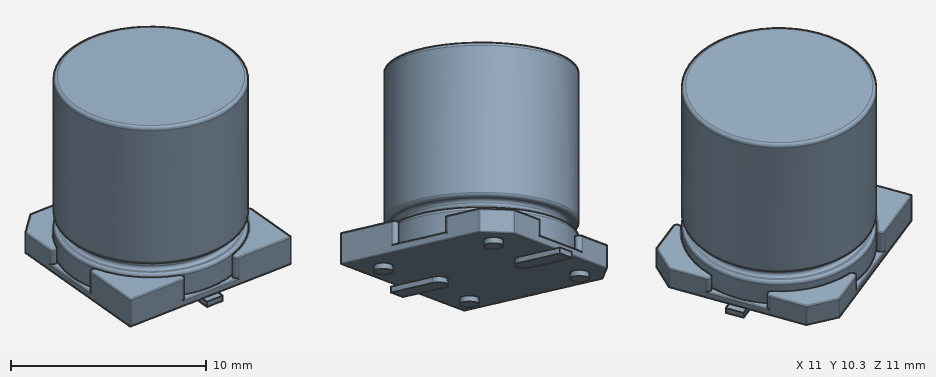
import cadquery as cq
import math

overall_height = 11.0
can_radius = 10.0 / 2
neck_radius = 9.0 / 2
can_edge_radius = 0.2
lower_rim_top = 2.16
neck_height = 0.15

base_width = 10.3
base_bottom = 0.32
plate_top = 0.74
low_block_top = 1.6
high_block_top = 2.0
corner_cut = 1.28
base_edge_radius = 0.06

seat_radius = 5.03
tip_radius = 0.22

lead_span = 11.0
lead_width = 1.0
lead_length = 3.2
foot_diameter = 1.0
foot_offset = 3.59

half_width = base_width / 2
sin_45 = math.sin(math.radians(45))


def make_can():
    """Revolve the can, with its grooved neck, about the Z axis."""
    r = can_edge_radius
    rim_flat_radius = can_radius - r
    groove_mouth_radius = neck_radius + r
    neck_bottom = lower_rim_top + r
    neck_top = neck_bottom + neck_height
    upper_rim_bottom = neck_top + r
    near = r * sin_45
    far = r - near
    profile = (
        cq.Workplane("XZ")
        .moveTo(0, base_bottom)
        .lineTo(can_radius, base_bottom)
        .lineTo(can_radius, lower_rim_top - r)
        .threePointArc((can_radius - far, lower_rim_top - far), (rim_flat_radius, lower_rim_top))
        .lineTo(groove_mouth_radius, lower_rim_top)
        .threePointArc((neck_radius + far, lower_rim_top + far), (neck_radius, neck_bottom))
        .lineTo(neck_radius, neck_top)
        .threePointArc((neck_radius + far, neck_top + near), (groove_mouth_radius, upper_rim_bottom))
        .lineTo(rim_flat_radius, upper_rim_bottom)
        .threePointArc((can_radius - far, upper_rim_bottom + far), (can_radius, upper_rim_bottom + r))
        .lineTo(can_radius, overall_height - r)
        .threePointArc((can_radius - far, overall_height - far), (rim_flat_radius, overall_height))
        .lineTo(0, overall_height)
        .close()
    )
    return profile.revolve(360, (0, 0, 0), (0, 1, 0))


def base_prism(top):
    """Square prism with bevelled -X corners and rounded upright edges."""
    prism = cq.Workplane("XY").workplane(offset=base_bottom).rect(base_width, base_width)
    prism = prism.extrude(top - base_bottom)
    prism = prism.edges("|Z and <X").chamfer(corner_cut)
    return prism.edges("|Z").fillet(base_edge_radius)


def make_plate():
    """Low plate under the corner blocks."""
    return base_prism(plate_top).faces("<Z or >Z").edges().fillet(base_edge_radius)


def make_block(x_side, y_side, top):
    """Corner block with full-round tips beside the gaps and a rounded rim."""
    tip_axis = half_width - tip_radius
    tip_start = math.sqrt((seat_radius + tip_radius) ** 2 - tip_axis**2)
    tip_end = tip_start - tip_radius
    seat_ratio = seat_radius / (seat_radius + tip_radius)
    touch_near = tip_start * seat_ratio
    touch_far = tip_axis * seat_ratio
    seat_middle = seat_radius * sin_45

    def at(x, y):
        return (x_side * x, y_side * y)

    outline = (
        cq.Workplane("XY")
        .workplane(offset=base_bottom)
        .moveTo(*at(half_width, half_width))
        .lineTo(*at(tip_start, half_width))
        .threePointArc(at(tip_end, tip_axis), at(touch_near, touch_far))
        .threePointArc(at(seat_middle, seat_middle), at(touch_far, touch_near))
        .threePointArc(at(tip_axis, tip_end), at(half_width, tip_start))
        .close()
    )
    block = outline.extrude(top - base_bottom).intersect(base_prism(top))
    return block.faces("<Z or >Z").edges().fillet(base_edge_radius)


def make_lead(side):
    """Flat terminal with a full-round inner end."""
    end_radius = lead_width / 2
    bar_length = lead_length - end_radius
    bar_centre = side * (lead_span - bar_length) / 2
    bar = cq.Workplane("XY").center(bar_centre, 0).rect(bar_length, lead_width).extrude(base_bottom)
    round_end = cq.Workplane("XY").center(side * (lead_span / 2 - bar_length), 0)
    return bar.union(round_end.circle(end_radius).extrude(base_bottom))


def make_feet():
    """Four round standoff feet."""
    feet = cq.Workplane("XY").rect(2 * foot_offset, 2 * foot_offset, forConstruction=True).vertices()
    return feet.circle(foot_diameter / 2).extrude(base_bottom)


result = make_can().union(make_plate()).union(make_feet())
for x_side, block_top in ((-1, low_block_top), (1, high_block_top)):
    for y_side in (-1, 1):
        result = result.union(make_block(x_side, y_side, block_top))
    result = result.union(make_lead(x_side))